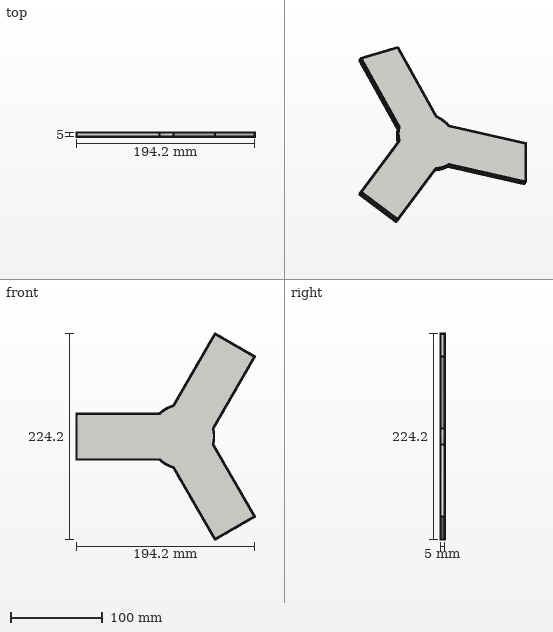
import cadquery as cq
import math

overall_height = 224.2
arm_width = 50.0
hub_radius = 35.0
thickness = 5.0
arm_count = 3
arm_spacing = 360 / arm_count
first_arm_angle = 180

tilt = math.radians(first_arm_angle - arm_spacing)
arm_length = (overall_height - arm_width * math.cos(tilt)) / (2 * math.sin(tilt))


def make_arm(angle):
    """Straight arm from the hub centre, turned by angle degrees from +X towards +Z."""
    arm = cq.Workplane("XY").box(arm_length, thickness, arm_width, centered=(False, True, True))
    return arm.rotate((0, 0, 0), (0, -1, 0), angle)


result = cq.Workplane("XZ").circle(hub_radius).extrude(thickness / 2, both=True)

for index in range(arm_count):
    result = result.union(make_arm(first_arm_angle + index * arm_spacing))